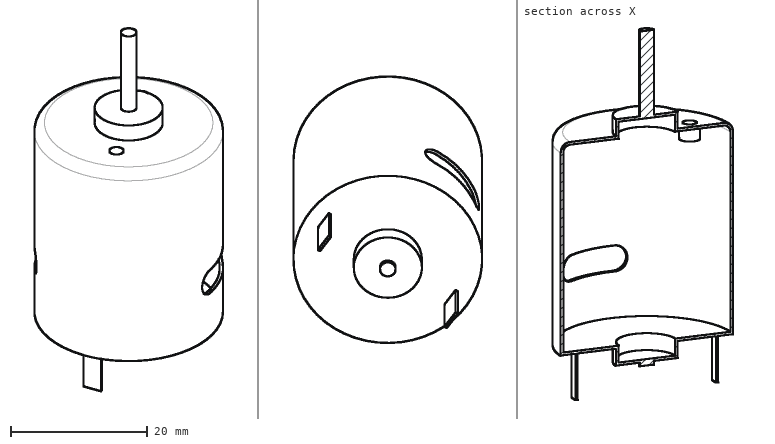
import cadquery as cq

can_diameter = 27.7
can_height = 32.55
wall = 0.5
rim_radius = 1.5

boss_diameter = 10.0
boss_height = 2.6

shaft_diameter = 2.3
shaft_top = 48.15
shaft_bottom = -3.15

hole_diameter = 2.1
hole_depth = 2.0
hole_x = 2.1
hole_y = 7.8

window_height = 4.0
window_near_y = 2.65
window_far_y = 9.1
window_center_z = 9.55

blade_width = 2.85
blade_thickness = 0.4
blade_bottom = -7.05
blade_y = 11.25

can_radius = can_diameter / 2


def cylinder(diameter, z_bottom, z_top, x=0, y=0):
    """Upright cylinder between two heights."""
    return (
        cq.Workplane("XY", origin=(x, y, z_bottom))
        .circle(diameter / 2)
        .extrude(z_top - z_bottom)
    )


def housing():
    """Can and bosses, hollowed to an even wall thickness."""
    outer = cylinder(can_diameter, 0, can_height).faces(">Z").edges().fillet(rim_radius)
    outer = outer.union(cylinder(boss_diameter, -boss_height, can_height + boss_height))
    inner = cylinder(can_diameter - 2 * wall, wall, can_height - wall)
    inner = inner.faces(">Z").edges().fillet(rim_radius - wall)
    inner = inner.union(
        cylinder(boss_diameter - 2 * wall, wall - boss_height, can_height + boss_height - wall)
    )
    return outer.cut(inner)


def add_mounting_hole(body, x, y):
    """Closed cup with a blind hole opening at the top face."""
    hole_bottom = can_height - hole_depth
    cup = cylinder(hole_diameter + 2 * wall, hole_bottom - wall, can_height, x, y)
    return body.union(cup).cut(cylinder(hole_diameter, hole_bottom, can_height, x, y))


def window(side):
    """Cutter for the window on the -X (side = -1) or +X (side = 1) wall."""
    center_y = side * (window_far_y - window_near_y) / 2
    return (
        cq.Workplane("YZ")
        .center(center_y, window_center_z)
        .slot2D(window_far_y + window_near_y, window_height)
        .extrude(side * can_radius)
    )


def blade(side):
    """Flat terminal hanging below the base."""
    return (
        cq.Workplane("XY", origin=(0, side * blade_y, blade_bottom))
        .rect(blade_width, blade_thickness)
        .extrude(-blade_bottom)
    )


result = housing()
result = result.union(cylinder(shaft_diameter, can_height + boss_height - wall, shaft_top))
result = result.union(cylinder(shaft_diameter, shaft_bottom, wall - boss_height))
for side in (-1, 1):
    result = add_mounting_hole(result, -side * hole_x, side * hole_y)
    result = result.cut(window(side))
    result = result.union(blade(side))